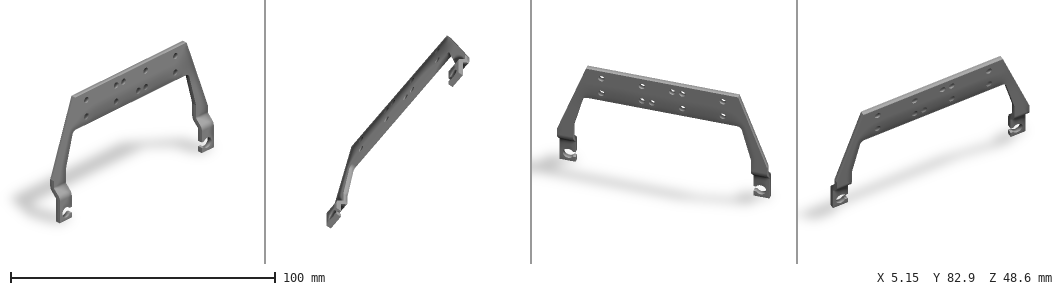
import cadquery as cq
import math

span = 82.9
height = 48.6
thickness = 2.0
half_span = span / 2

half_top = 30.0
bar_height = 14.0
leg_width = 6.4
outer_corner_z = 17.0
inner_corner_z = 19.5
half_opening_top = 31.1
opening_radius = 2.0

foot_offset = 3.15
joggle_top_z = 14.3
bend_angle = math.radians(45)
inner_bend_radius = 1.0
outer_bend_radius = inner_bend_radius + thickness

mount_diameter = 2.5
mount_edge_distance = 3.5
mount_outer_y = 23.95
mount_middle_y = 7.95
mount_extra_y = 4.0

keyhole_diameter = 4.3
keyhole_slot_height = 2.3
keyhole_edge_distance = 3.5
keyhole_z = 3.4

bar_bottom_z = height - bar_height
cut_depth = thickness + foot_offset


def arc_point(center, radius, angle):
    """Point at the given angle from +X, in the XZ plane."""
    return (center[0] + radius * math.cos(angle), center[1] + radius * math.sin(angle))


def joggled_sheet():
    """Full-width bent sheet: plate, 45 degree joggle and offset foot."""
    bend_radii = inner_bend_radius + outer_bend_radius
    sloped_length = (foot_offset - bend_radii * (1 - math.cos(bend_angle))) / math.sin(bend_angle)
    joggle_height = bend_radii * math.sin(bend_angle) + sloped_length * math.cos(bend_angle)
    joggle_bottom_z = joggle_top_z - joggle_height

    upper = (outer_bend_radius, joggle_top_z)
    lower = (foot_offset - inner_bend_radius, joggle_bottom_z)
    mid_upper = math.pi + bend_angle / 2
    end_upper = math.pi + bend_angle

    profile = (
        cq.Workplane("XZ")
        .moveTo(0, height)
        .lineTo(0, joggle_top_z)
        .threePointArc(
            arc_point(upper, outer_bend_radius, mid_upper),
            arc_point(upper, outer_bend_radius, end_upper),
        )
        .lineTo(*arc_point(lower, inner_bend_radius, bend_angle))
        .threePointArc(
            arc_point(lower, inner_bend_radius, bend_angle / 2),
            arc_point(lower, inner_bend_radius, 0),
        )
        .lineTo(foot_offset, 0)
        .lineTo(foot_offset + thickness, 0)
        .lineTo(foot_offset + thickness, joggle_bottom_z)
        .threePointArc(
            arc_point(lower, outer_bend_radius, bend_angle / 2),
            arc_point(lower, outer_bend_radius, bend_angle),
        )
        .lineTo(*arc_point(upper, inner_bend_radius, end_upper))
        .threePointArc(
            arc_point(upper, inner_bend_radius, mid_upper),
            arc_point(upper, inner_bend_radius, math.pi),
        )
        .lineTo(thickness, height)
        .close()
    )
    return profile.extrude(half_span, both=True)


def bracket_outline():
    """Solid with the outer bracket outline, through the full depth in X."""
    outline = [
        (-half_span, 0),
        (half_span, 0),
        (half_span, outer_corner_z),
        (half_top, height),
        (-half_top, height),
        (-half_span, outer_corner_z),
    ]
    return cq.Workplane("YZ").polyline(outline).close().extrude(cut_depth)


def opening():
    """Space between the legs, with rounded corners under the crossbar."""
    half_gap = half_span - leg_width
    outline = [
        (-half_gap, 0),
        (half_gap, 0),
        (half_gap, inner_corner_z),
        (half_opening_top, bar_bottom_z),
        (-half_opening_top, bar_bottom_z),
        (-half_gap, inner_corner_z),
    ]
    block = cq.Workplane("YZ").polyline(outline).close().extrude(cut_depth)
    return block.faces(">Z").edges("|X").fillet(opening_radius)


def mounting_holes():
    """Two rows of holes; the extra hole is on -Y above and +Y below."""
    shared = [-mount_outer_y, -mount_middle_y, mount_middle_y, mount_outer_y]
    upper_z = height - mount_edge_distance
    lower_z = bar_bottom_z + mount_edge_distance
    points = [(y, upper_z) for y in shared + [-mount_extra_y]]
    points += [(y, lower_z) for y in shared + [mount_extra_y]]
    return cq.Workplane("YZ").pushPoints(points).circle(mount_diameter / 2).extrude(cut_depth)


def keyhole(side):
    """Round hole with a slot opening towards the middle of the bracket."""
    center_y = side * (half_span - keyhole_edge_distance)
    slot_length = leg_width - keyhole_edge_distance
    hole = cq.Workplane("YZ").center(center_y, keyhole_z).circle(keyhole_diameter / 2).extrude(cut_depth)
    slot = (
        cq.Workplane("YZ")
        .center(center_y - side * slot_length / 2, keyhole_z)
        .rect(slot_length, keyhole_slot_height)
        .extrude(cut_depth)
    )
    return hole.union(slot)


result = joggled_sheet().intersect(bracket_outline()).cut(opening()).cut(mounting_holes())
for side in (-1, 1):
    result = result.cut(keyhole(side))